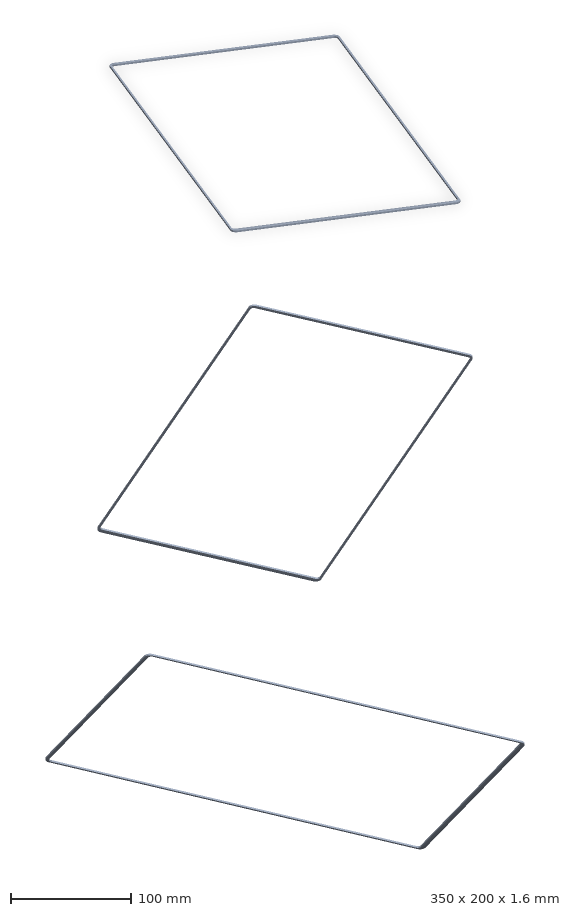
import cadquery as cq

length = 350.0
width = 200.0
thickness = 1.6
outer_corner_radius = 5.0

left_rail = 3.1
right_rail = 4.0
front_rail = 1.65
back_rail = 1.75
opening_corner_radius = 3.0

opening_length = length - left_rail - right_rail
opening_width = width - front_rail - back_rail
opening_center_x = (left_rail - right_rail) / 2
opening_center_y = (front_rail - back_rail) / 2


def rounded_plate(size_x, size_y, corner_radius, center_x=0, center_y=0):
    """Flat plate with rounded vertical corners, resting on Z = 0."""
    return (
        cq.Workplane("XY")
        .center(center_x, center_y)
        .rect(size_x, size_y)
        .extrude(thickness)
        .edges("|Z")
        .fillet(corner_radius)
    )


frame = rounded_plate(length, width, outer_corner_radius)
opening = rounded_plate(
    opening_length,
    opening_width,
    opening_corner_radius,
    opening_center_x,
    opening_center_y,
)

result = frame.cut(opening)